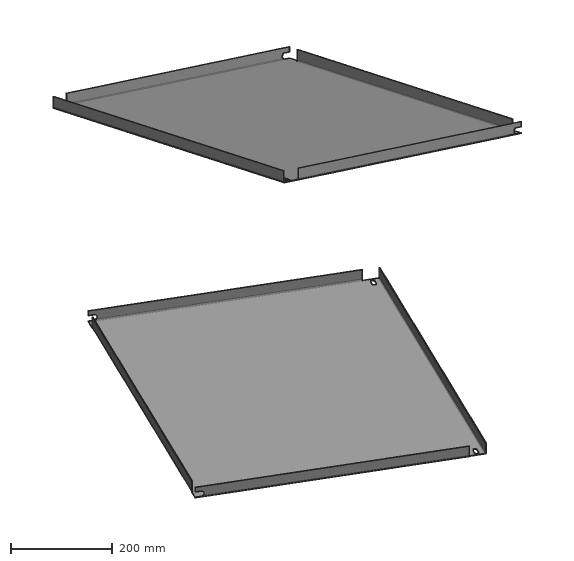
import cadquery as cq

length = 731.0
depth = 600.0
height = 25.0
sheet = 2.0
bend_radius = 3.0

side_flange_setback = 36.0
back_flange_inset = 27.0

base_slot_length = 19.0
base_slot_width = 9.0
base_slot_side_offset = 17.0
base_slot_front_offset = 17.5

side_slot_depth = 18.0
side_slot_width = 12.5
side_slot_height = 8.0

half_length = length / 2
half_depth = depth / 2
flat_half_length = half_length - bend_radius


def flange_profile(plane):
    """L section with a round bend: local x points outward, starting at the bend line."""
    inner_radius = bend_radius - sheet
    diagonal = 0.5 ** 0.5
    return (
        cq.Workplane(plane)
        .lineTo(0, sheet)
        .threePointArc(
            (inner_radius * diagonal, bend_radius - inner_radius * diagonal),
            (inner_radius, bend_radius),
        )
        .lineTo(inner_radius, height)
        .lineTo(bend_radius, height)
        .lineTo(bend_radius, bend_radius)
        .threePointArc(
            (bend_radius * diagonal, bend_radius - bend_radius * diagonal),
            (0, 0),
        )
        .close()
    )


def flange(start, outward, run):
    """Flange whose bend line begins at start and runs along outward x Z."""
    along = cq.Vector(*outward).cross(cq.Vector(0, 0, 1))
    plane = cq.Plane(origin=start, xDir=outward, normal=along.toTuple())
    return flange_profile(plane).extrude(run)


front_bend_line = -half_depth + bend_radius
back_bend_line = half_depth - bend_radius
back_half_length = half_length - back_flange_inset

base = (
    cq.Workplane("XY")
    .moveTo(-flat_half_length, front_bend_line)
    .lineTo(flat_half_length, front_bend_line)
    .lineTo(flat_half_length, half_depth)
    .lineTo(back_half_length, half_depth)
    .lineTo(back_half_length, back_bend_line)
    .lineTo(-back_half_length, back_bend_line)
    .lineTo(-back_half_length, half_depth)
    .lineTo(-flat_half_length, half_depth)
    .close()
    .extrude(sheet)
)

front_flange = flange((flat_half_length, front_bend_line, 0), (0, -1, 0), 2 * flat_half_length)
back_flange = flange((-back_half_length, back_bend_line, 0), (0, 1, 0), 2 * back_half_length)

side_run = depth - side_flange_setback
right_flange = flange((flat_half_length, half_depth, 0), (1, 0, 0), side_run)
left_flange = right_flange.mirror("YZ")

side_slots = (
    cq.Workplane("YZ")
    .center(half_depth, side_slot_height)
    .slot2D(2 * side_slot_depth, side_slot_width)
    .extrude(half_length, both=True)
)
side_flanges = right_flange.union(left_flange).cut(side_slots)

base_slots = (
    cq.Workplane("XY")
    .pushPoints(
        [
            (side * (half_length - base_slot_side_offset), -half_depth + base_slot_front_offset)
            for side in (-1, 1)
        ]
    )
    .slot2D(base_slot_length, base_slot_width)
    .extrude(sheet)
)

result = base.union(front_flange).union(back_flange).union(side_flanges).cut(base_slots)